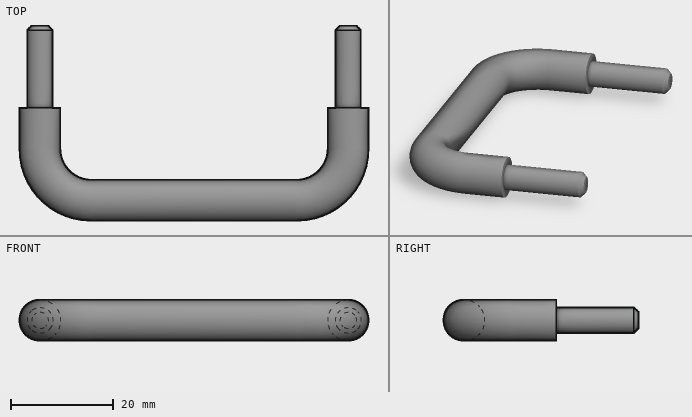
import cadquery as cq

grip_diameter = 8.0
stud_spacing = 60.0
bend_radius = 10.0
collar_length = 8.0
stud_diameter = 5.0
stud_length = 16.0
stud_chamfer = 0.9

leg_x = stud_spacing / 2
grip_half_length = leg_x - bend_radius
bend_end_y = -collar_length
grip_axis_y = bend_end_y - bend_radius


def make_handle():
    """U-shaped round bar swept along the straight legs, bends and grip."""
    path = (
        cq.Workplane("XY")
        .moveTo(-leg_x, 0)
        .lineTo(-leg_x, bend_end_y)
        .radiusArc((-grip_half_length, grip_axis_y), -bend_radius)
        .lineTo(grip_half_length, grip_axis_y)
        .radiusArc((leg_x, bend_end_y), -bend_radius)
        .lineTo(leg_x, 0)
    )
    profile = cq.Workplane("XZ").center(-leg_x, 0).circle(grip_diameter / 2)
    return profile.sweep(path)


def make_stud(x):
    """Round stud with a chamfered tip, standing on the shoulder at x."""
    return (
        cq.Workplane("XZ")
        .center(x, 0)
        .circle(stud_diameter / 2)
        .extrude(-stud_length)
        .faces(">Y")
        .chamfer(stud_chamfer)
    )


result = make_handle()
for stud_x in (-leg_x, leg_x):
    result = result.union(make_stud(stud_x))